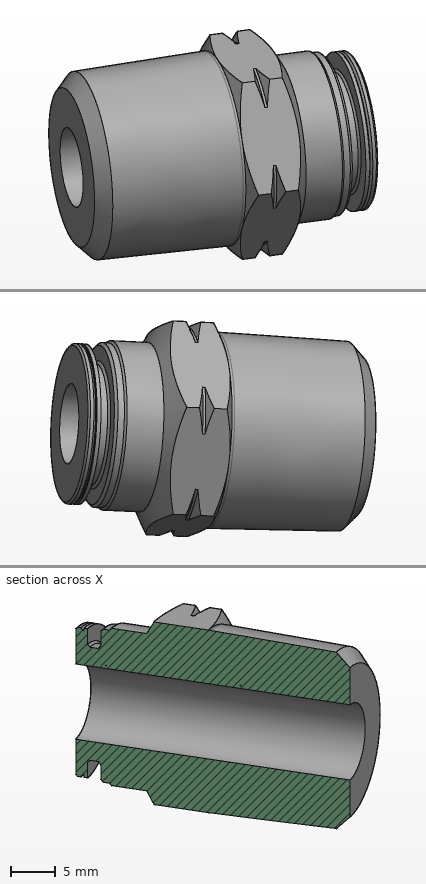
import cadquery as cq
import math

LENGTH = 33.1
BORE_DIA = 9.0

NOSE_DIA = 18.0
THREAD_SMALL_DIA = 21.28
THREAD_LARGE_DIA = 22.0
NOSE_CHAMFER = (THREAD_SMALL_DIA - NOSE_DIA) / 2
THREAD_END = 16.75

HEX_FLATS = 22.0
HEX_CORNERS = HEX_FLATS / math.cos(math.radians(30))
HEX_START = 17.05
HEX_END = 24.52
HEX_CHAMFER_ANGLE = math.radians(30)
NOTCH_CENTER = 20.35
NOTCH_FLOOR_DIA = 22.95
NOTCH_FLOOR_WIDTH = 0.3
NOTCH_SIDE_ANGLE = math.radians(30)

BODY_DIA = 19.0
BODY_END = 28.75
SHOULDER_DIA = 18.5
SHOULDER_END = 30.08
SHOULDER_CHAMFER = 0.33
SEAT_DIA = 14.35
NECK_START = 30.35

NECK_DIA = 13.65
COLLAR_DIA = 18.0
COLLAR_START = 31.65
NECK_CHAMFER = 0.25
COLLAR_GROOVE_DIA = 17.5
COLLAR_GROOVE_START = 32.1
COLLAR_GROOVE_END = 32.2
COLLAR_CHAMFER = 0.23


def revolve_profile(points):
    """Revolve (radius, Y) points about the Y axis."""
    profile = cq.Workplane("XY").polyline(points).close()
    return profile.revolve(360, (0, 0, 0), (0, 1, 0))


def make_turned_body():
    body_chamfer = (BODY_DIA - SHOULDER_DIA) / 2
    groove_depth = (COLLAR_DIA - COLLAR_GROOVE_DIA) / 2
    return revolve_profile([
        (0, 0),
        (NOSE_DIA / 2, 0),
        (THREAD_SMALL_DIA / 2, NOSE_CHAMFER),
        (THREAD_LARGE_DIA / 2, THREAD_END),
        (THREAD_LARGE_DIA / 2, HEX_START),
        (BODY_DIA / 2, HEX_START),
        (BODY_DIA / 2, BODY_END),
        (SHOULDER_DIA / 2, BODY_END + body_chamfer),
        (SHOULDER_DIA / 2, SHOULDER_END - SHOULDER_CHAMFER),
        (SHOULDER_DIA / 2 - SHOULDER_CHAMFER, SHOULDER_END),
        (SEAT_DIA / 2, SHOULDER_END),
        (NECK_DIA / 2, NECK_START),
        (NECK_DIA / 2, COLLAR_START - NECK_CHAMFER),
        (NECK_DIA / 2 + NECK_CHAMFER, COLLAR_START),
        (COLLAR_DIA / 2, COLLAR_START),
        (COLLAR_DIA / 2, COLLAR_GROOVE_START),
        (COLLAR_GROOVE_DIA / 2, COLLAR_GROOVE_START),
        (COLLAR_GROOVE_DIA / 2, COLLAR_GROOVE_END),
        (COLLAR_DIA / 2, COLLAR_GROOVE_END + groove_depth),
        (COLLAR_DIA / 2, LENGTH - COLLAR_CHAMFER),
        (COLLAR_DIA / 2 - COLLAR_CHAMFER, LENGTH),
        (0, LENGTH),
    ])


def make_hexagon():
    """Hexagon with conical ends and a V notch around its corners."""
    prism = (
        cq.Workplane("XZ", origin=(0, HEX_START, 0))
        .polygon(6, HEX_CORNERS)
        .extrude(HEX_START - HEX_END)
    )
    corner_radius = HEX_CORNERS / 2
    floor_radius = NOTCH_FLOOR_DIA / 2
    front_chamfer = (HEX_CORNERS - THREAD_LARGE_DIA) / 2 * math.tan(HEX_CHAMFER_ANGLE)
    rear_chamfer = (HEX_CORNERS - BODY_DIA) / 2 * math.tan(HEX_CHAMFER_ANGLE)
    half_floor = NOTCH_FLOOR_WIDTH / 2
    half_mouth = half_floor + (corner_radius - floor_radius) * math.tan(NOTCH_SIDE_ANGLE)
    envelope = revolve_profile([
        (0, HEX_START),
        (THREAD_LARGE_DIA / 2, HEX_START),
        (corner_radius, HEX_START + front_chamfer),
        (corner_radius, NOTCH_CENTER - half_mouth),
        (floor_radius, NOTCH_CENTER - half_floor),
        (floor_radius, NOTCH_CENTER + half_floor),
        (corner_radius, NOTCH_CENTER + half_mouth),
        (corner_radius, HEX_END - rear_chamfer),
        (BODY_DIA / 2, HEX_END),
        (0, HEX_END),
    ])
    return prism.intersect(envelope)


def make_bore():
    return cq.Workplane("XZ").circle(BORE_DIA / 2).extrude(-LENGTH)


result = make_turned_body().union(make_hexagon()).cut(make_bore())